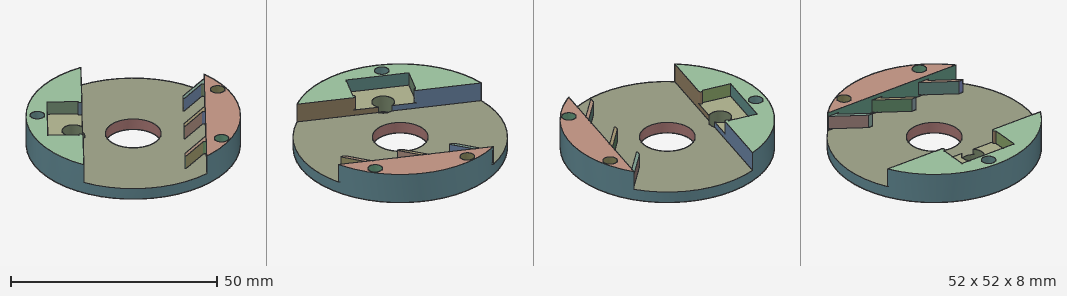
import cadquery as cq
import math

disc_diameter = 52.0
disc_height = 8.0
bore_diameter = 13.5
floor_z = 3.0

layout_angle = -45.0
fin_wall_across = 17.5
pocket_wall_across = -12.3

pocket_center_along = 1.0
pocket_width = 15.6
pocket_depth = 8.5
pocket_floor_z = 4.5
bump_radius = 0.5
pocket_hole_diameter = 5.5
pocket_hole_setback = 2.2

fin_starts = (-19.0, -6.0, 8.0)
fin_reach = 5.25
fin_angle = 32.5
fin_thickness = 0.88
fin_bottom_z = 3.45
fin_height = 3.5
fin_root_radius = 0.4
fin_tip_radius = 0.15

mount_hole_diameter = 3.5
mount_hole_centers = [(6.1, 23.1), (22.75, 7.25), (-16.85, -16.0)]


def layout_plane(z):
    """Horizontal plane at height z, in the turned layout frame."""
    return cq.Workplane("XY").workplane(offset=z).transformed(rotate=(0, 0, layout_angle))


def make_disc():
    return cq.Workplane("XY").circle(disc_diameter / 2).extrude(disc_height)


def make_channel():
    """Band between the two straight walls, from the floor upward."""
    width = fin_wall_across - pocket_wall_across
    middle = (fin_wall_across + pocket_wall_across) / 2
    return (
        layout_plane(floor_z)
        .center(0, middle)
        .rect(disc_diameter, width)
        .extrude(disc_height - floor_z)
    )


def make_pocket():
    """Rectangular recess with a round snap bump on each side of its mouth."""
    height = disc_height - pocket_floor_z
    pocket = (
        layout_plane(pocket_floor_z)
        .center(pocket_center_along, pocket_wall_across - pocket_depth / 2)
        .rect(pocket_width, pocket_depth)
        .extrude(height)
    )
    bump_across = pocket_wall_across - bump_radius
    bump_centers = [
        (pocket_center_along + side * pocket_width / 2, bump_across) for side in (-1, 1)
    ]
    bumps = layout_plane(pocket_floor_z).pushPoints(bump_centers).circle(bump_radius).extrude(height)
    return pocket.cut(bumps)


def make_pocket_hole():
    return (
        layout_plane(0)
        .center(pocket_center_along, pocket_wall_across - pocket_hole_setback)
        .circle(pocket_hole_diameter / 2)
        .extrude(disc_height)
    )


def make_fin(start):
    """Slanted fin leaving the wall at start, with a filleted root and a rounded tip."""
    slant = math.radians(fin_angle)
    run = fin_reach / math.tan(slant)
    base = fin_thickness / math.sin(slant)
    tip_across = fin_wall_across - fin_reach
    inner_root = start + base
    tip_end = inner_root + run

    root_touch = fin_root_radius / math.tan(slant / 2)
    tip_touch = fin_tip_radius / math.tan(slant / 2)
    step_along = math.cos(slant)
    step_across = math.sin(slant)
    root_apex = fin_root_radius / math.sin(slant / 2) - fin_root_radius
    tip_apex = fin_tip_radius / math.sin(slant / 2) - fin_tip_radius
    bisector_along = math.cos(slant / 2)
    bisector_across = math.sin(slant / 2)

    return (
        layout_plane(fin_bottom_z)
        .moveTo(start, fin_wall_across)
        .lineTo(start + run, tip_across)
        .lineTo(tip_end - tip_touch, tip_across)
        .threePointArc(
            (tip_end - tip_apex * bisector_along, tip_across + tip_apex * bisector_across),
            (tip_end - tip_touch * step_along, tip_across + tip_touch * step_across),
        )
        .lineTo(inner_root + root_touch * step_along, fin_wall_across - root_touch * step_across)
        .threePointArc(
            (inner_root + root_apex * bisector_along, fin_wall_across - root_apex * bisector_across),
            (inner_root + root_touch, fin_wall_across),
        )
        .close()
        .extrude(fin_height)
    )


def make_mount_holes():
    return (
        cq.Workplane("XY")
        .pushPoints(mount_hole_centers)
        .circle(mount_hole_diameter / 2)
        .extrude(disc_height)
    )


bore = cq.Workplane("XY").circle(bore_diameter / 2).extrude(disc_height)

result = make_disc().cut(make_channel()).cut(make_pocket())
for fin_start in fin_starts:
    result = result.union(make_fin(fin_start))
result = result.cut(bore).cut(make_pocket_hole()).cut(make_mount_holes())